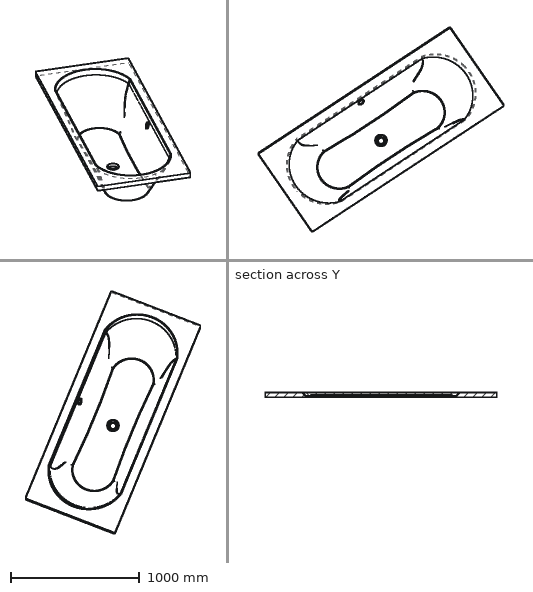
import cadquery as cq
import math

RIM_LENGTH = 1800.0
RIM_WIDTH = 750.0
RIM_THICKNESS = 40.0
RIM_CORNER_RADIUS = 9.0

TOTAL_HEIGHT = 415.0
WALL = 7.0
FLOOR_THICKNESS = 5.0
BOWL_DEPTH = 382.0
TOP_HALF_LENGTH = 825.0
BOTTOM_HALF_LENGTH = 565.0

WALL_LEVELS = [
    (0.0, 587.0, 306.0, 0.0),
    (40.0, 585.0, 293.0, 0.0),
    (95.0, 575.0, 274.0, 0.0),
    (171.0, 531.0, 248.0, 0.0),
    (252.0, 450.0, 223.0, 0.0),
    (324.0, 421.0, 200.0, 5.0),
    (BOWL_DEPTH, 418.0, 173.0, 13.0),
]

SUMP_DEPTH = 403.0
SUMP_OUTER_RADIUS = 47.0
SUMP_INNER_RADIUS = 40.5
SUMP_BASE_RADIUS = 30.0
DRAIN_RADIUS = 23.0

OVERFLOW_RADIUS = 25.0
OVERFLOW_DEPTH = 74.0


def end_arc_midpoint(half_length, side_x, side_y):
    """Point halfway along the round end between (half_length, 0) and (side_x, side_y)."""
    rise = half_length - side_x
    radius = (rise**2 + side_y**2) / (2 * rise)
    center_x = half_length - radius
    half_angle = math.atan2(side_y, side_x - center_x) / 2
    return center_x + radius * math.cos(half_angle), radius * math.sin(half_angle)


def outline(depth, half_length, side_x, side_y, bow):
    """Closed outline with two long sides and two round ends, each end split at y = 0."""
    mid_x, mid_y = end_arc_midpoint(half_length, side_x, side_y)
    sketch = cq.Workplane("XY", origin=(0, 0, -depth)).moveTo(-side_x, -side_y)
    if bow == 0:
        sketch = sketch.lineTo(side_x, -side_y)
    else:
        sketch = sketch.threePointArc((0, bow - side_y), (side_x, -side_y))
    sketch = sketch.threePointArc((mid_x, -mid_y), (half_length, 0))
    sketch = sketch.threePointArc((mid_x, mid_y), (side_x, side_y))
    if bow == 0:
        sketch = sketch.lineTo(-side_x, side_y)
    else:
        sketch = sketch.threePointArc((0, side_y - bow), (-side_x, side_y))
    sketch = sketch.threePointArc((-mid_x, mid_y), (-half_length, 0))
    return sketch.threePointArc((-mid_x, -mid_y), (-side_x, -side_y)).close().val()


def wall_outlines(inset):
    """Outlines of the wall at every level, moved inward by the inset."""
    outlines = []
    for depth, side_x, side_y, bow in WALL_LEVELS:
        taper = depth / BOWL_DEPTH
        half_length = TOP_HALF_LENGTH + (BOTTOM_HALF_LENGTH - TOP_HALF_LENGTH) * taper
        outlines.append(outline(depth, half_length - inset, side_x, side_y - inset, bow))
    return outlines


def drain_outline(depth, radius):
    """Circle split into six arcs that line up with the six edges of the wall outline."""
    _, side_x, side_y, _ = WALL_LEVELS[-1]
    angle = math.atan2(side_y, side_x)
    chord_x = radius * math.cos(angle)
    chord_y = radius * math.sin(angle)
    return outline(depth, radius, chord_x, chord_y, chord_y - radius)


def bowl_form(inset, lift, sump_radius):
    """Solid form of the bowl: side walls and a floor that falls to the sump."""
    outlines = wall_outlines(inset)
    walls = cq.Solid.makeLoft(outlines)
    floor_edge = outlines[-1]
    floor = cq.Solid.makeLoft([floor_edge, drain_outline(SUMP_DEPTH - lift, sump_radius)], True)
    return cq.Workplane(walls).union(cq.Workplane(floor))


def sump_cone(top_radius, base_radius, top_depth, base_depth):
    """Cone frustum that narrows downward around the drain."""
    return cq.Workplane(cq.Solid.makeCone(
        base_radius, top_radius, base_depth - top_depth, cq.Vector(0, 0, -base_depth)))


def make_bowl(outer):
    """Thin bowl with its drain sump and overflow hole."""
    inner = bowl_form(WALL, FLOOR_THICKNESS, SUMP_INNER_RADIUS)
    sump = sump_cone(SUMP_OUTER_RADIUS, SUMP_BASE_RADIUS, SUMP_DEPTH, TOTAL_HEIGHT)
    sump_recess = sump_cone(SUMP_INNER_RADIUS, DRAIN_RADIUS, SUMP_DEPTH - FLOOR_THICKNESS, TOTAL_HEIGHT)
    overflow = (
        cq.Workplane("XZ", origin=(0, 0, -OVERFLOW_DEPTH))
        .circle(OVERFLOW_RADIUS)
        .extrude(-RIM_WIDTH / 2)
    )
    return outer.union(sump).cut(inner).cut(sump_recess).cut(overflow)


def make_rim(outer):
    """Flat plate with an opening that matches the outside of the bowl."""
    plate = (
        cq.Workplane("XY")
        .rect(RIM_LENGTH, RIM_WIDTH)
        .extrude(-RIM_THICKNESS)
        .edges("|Z")
        .fillet(RIM_CORNER_RADIUS)
    )
    return plate.cut(outer)


bowl_outer = bowl_form(0, 0, SUMP_OUTER_RADIUS)
bowl = make_bowl(bowl_outer)
rim = make_rim(bowl_outer)

result = cq.Compound.makeCompound([rim.solids().val(), bowl.solids().val()])